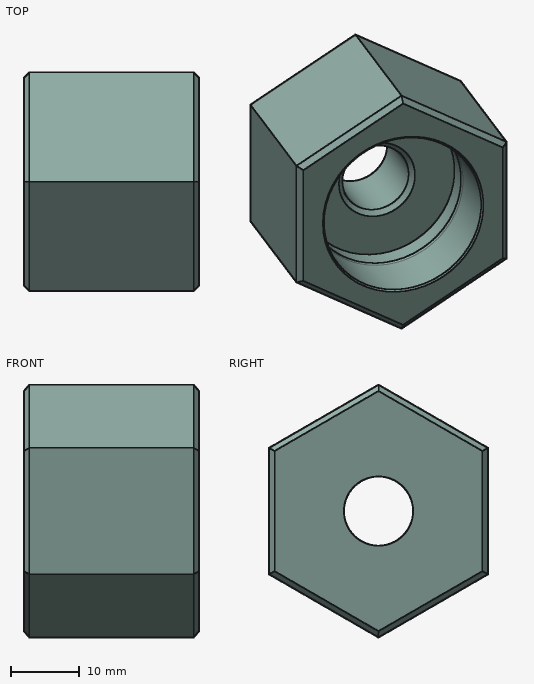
import cadquery as cq
import math

length = 25.4
across_flats = 31.75
across_corners = across_flats / math.cos(math.radians(30))
edge_chamfer = 0.8

bore_radius = 11.87
mouth_radius = 12.13
mouth_chamfer = mouth_radius - bore_radius
bore_depth = 13.5

narrowing_start = 9.8
narrowing_angle = math.radians(45)
narrowing_arc_radius = 0.508
inner_bore_radius = bore_radius - narrowing_arc_radius * (1 - math.cos(narrowing_angle))

hole_radius = 5.0
hole_chamfer = 0.75


def hexagonal_body():
    blank = cq.Workplane("YZ").polygon(6, across_corners).extrude(length)
    corners_up = blank.rotate((0, 0, 0), (1, 0, 0), 90)
    return corners_up.faces("<X or >X").chamfer(edge_chamfer)


def narrowing_point(angle):
    """Point (X, radius) on the narrowing arc, turned by angle from the bore wall."""
    x = narrowing_start + narrowing_arc_radius * math.sin(angle)
    radius = bore_radius - narrowing_arc_radius * (1 - math.cos(angle))
    return (x, radius)


def bore_cutter():
    """Solid of revolution about X that removes the bore and the through hole."""
    profile = (
        cq.Workplane("XY")
        .lineTo(0, mouth_radius)
        .lineTo(mouth_chamfer, bore_radius)
        .lineTo(narrowing_start, bore_radius)
        .threePointArc(narrowing_point(narrowing_angle / 2), narrowing_point(narrowing_angle))
        .lineTo(bore_depth, inner_bore_radius)
        .lineTo(bore_depth, hole_radius + hole_chamfer)
        .lineTo(bore_depth + hole_chamfer, hole_radius)
        .lineTo(length, hole_radius)
        .lineTo(length, 0)
        .close()
    )
    return profile.revolve(360, (0, 0, 0), (1, 0, 0))


result = hexagonal_body().cut(bore_cutter())